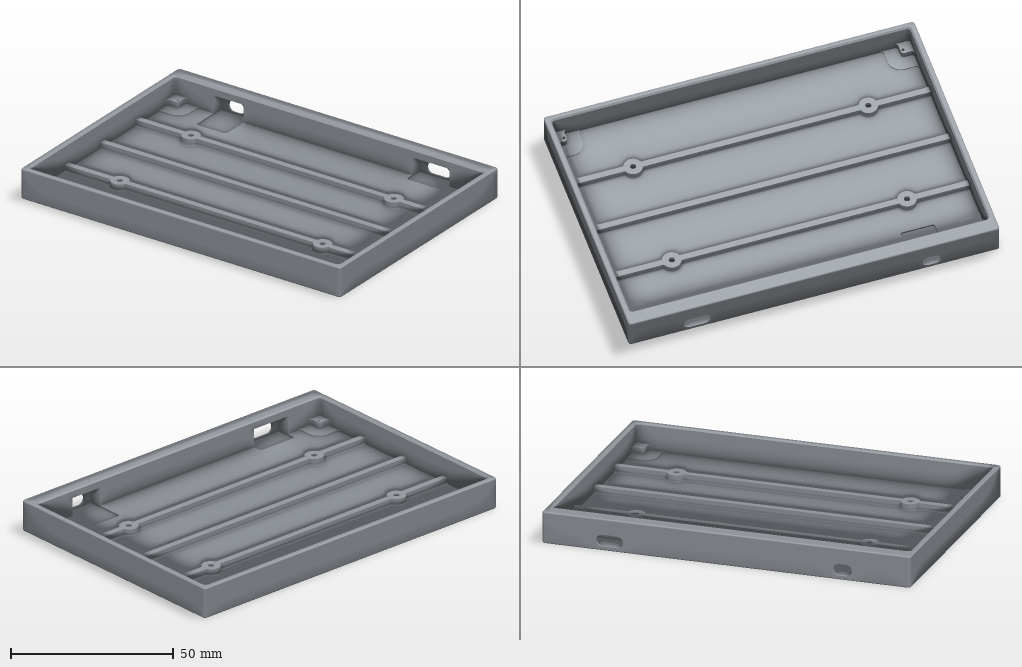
import cadquery as cq

LENGTH = 120.3
WIDTH = 85.0
HEIGHT = 10.3
WALL = 2.0
BACK_WALL = 4.9
FLOOR = 1.5
CORNER_RADIUS = 1.0
EDGE_FILLET = 0.5
RIM_CHAMFER = 0.5

CAVITY_LENGTH = LENGTH - 2 * WALL
CAVITY_WIDTH = WIDTH - WALL - BACK_WALL
CAVITY_CENTRE_Y = (WALL - BACK_WALL) / 2
CAVITY_BACK_Y = WIDTH / 2 - BACK_WALL

RIB_WIDTH = 2.0
RIB_HEIGHT = 2.2
FOOT_FILLET = 0.5
BOSS_DIAMETER = 6.0
BOSS_HOLE_DIAMETER = 1.9
BOSS_HOLE_DEPTH = RIB_HEIGHT
BOSS_X = 38.1
BOSS_Y = 19.1

PAD_X = 8.7
PAD_Y = 8.7
PAD_HEIGHT = 0.4
PAD_CORNER_RADIUS = 4.2
POST_X = 4.0
POST_Y = 4.2
POST_HEIGHT = 2.0
POST_CORNER_RADIUS = 1.0
WALL_BLEND_RADIUS = 1.0
POST_HOLE_DIAMETER = 1.0
POST_HOLE_DEPTH = POST_HEIGHT
POST_HOLE_X = 3.1
POST_HOLE_Y = 2.9

RECESS_SINK = 0.6
RECESS_HEIGHT = 6.7
RECESS_CORNER_RADIUS = 1.0
RECESS_BACK_SKIN = 0.7
SLOT_HEIGHT = 3.8
SLOT_SILL = 0.5
SLOT_SIDE_MARGIN = 2.6
PORT_X = 38.0
LEFT_RECESS_WIDTH = 11.3
LEFT_RECESS_REACH = 9.5
RIGHT_RECESS_WIDTH = 14.1
RIGHT_RECESS_REACH = 3.1

SELECT_MARGIN = 0.01


def make_shell():
    """Rounded box, open at the top, with a chamfered inner rim."""
    box = cq.Workplane("XY").box(LENGTH, WIDTH, HEIGHT, centered=(True, True, False))
    box = box.edges("|Z").fillet(CORNER_RADIUS)
    box = box.faces(">Z or <Z").edges().fillet(EDGE_FILLET)
    cavity = (
        cq.Workplane("XY", origin=(0, CAVITY_CENTRE_Y, FLOOR))
        .rect(CAVITY_LENGTH, CAVITY_WIDTH)
        .extrude(HEIGHT)
        .edges("|Z")
        .fillet(CORNER_RADIUS)
    )
    inner_rim = cq.selectors.BoxSelector(
        (-(LENGTH - WALL) / 2, -(WIDTH - WALL) / 2, HEIGHT - SELECT_MARGIN),
        ((LENGTH - WALL) / 2, (WIDTH - WALL) / 2, HEIGHT + SELECT_MARGIN),
        boundingbox=True,
    )
    return box.cut(cavity).edges(inner_rim).chamfer(RIM_CHAMFER)


def make_rib(y):
    """Straight rib along X, with its ends embedded in the side walls."""
    return (
        cq.Workplane("XY", origin=(0, y, FLOOR))
        .rect(CAVITY_LENGTH + WALL, RIB_WIDTH)
        .extrude(RIB_HEIGHT)
    )


def boss_circles(z, diameter):
    """Circles at the four boss centres, ready to extrude from height z."""
    return (
        cq.Workplane("XY", origin=(0, CAVITY_CENTRE_Y, z))
        .rect(2 * BOSS_X, 2 * BOSS_Y, forConstruction=True)
        .vertices()
        .circle(diameter / 2)
    )


def add_ribs_and_bosses(body):
    """Three ribs, bosses on the outer two, a fillet around the foot and blind screw holes."""
    body = body.union(boss_circles(FLOOR, BOSS_DIAMETER).extrude(RIB_HEIGHT))
    for offset in (-BOSS_Y, 0, BOSS_Y):
        body = body.union(make_rib(CAVITY_CENTRE_Y + offset))

    foot_x = CAVITY_LENGTH / 2 + SELECT_MARGIN
    foot_y = BOSS_Y + BOSS_DIAMETER
    foot = cq.selectors.BoxSelector(
        (-foot_x, CAVITY_CENTRE_Y - foot_y, FLOOR - SELECT_MARGIN),
        (foot_x, CAVITY_CENTRE_Y + foot_y, FLOOR + SELECT_MARGIN),
        boundingbox=True,
    )
    body = body.edges(foot).edges("not |Y").fillet(FOOT_FILLET)
    return body.cut(boss_circles(FLOOR + RIB_HEIGHT, BOSS_HOLE_DIAMETER).extrude(-BOSS_HOLE_DEPTH))


def corner_block(size_x, size_y, height, radius):
    """Block in the -X, -Y cavity corner with a rounded free corner and blends into the walls."""
    blend = WALL_BLEND_RADIUS
    embed = WALL / 2
    return (
        cq.Workplane("XY", origin=(-CAVITY_LENGTH / 2, -CAVITY_WIDTH / 2, FLOOR))
        .moveTo(-embed, -embed)
        .lineTo(size_x + blend, -embed)
        .lineTo(size_x + blend, 0)
        .radiusArc((size_x, blend), blend)
        .lineTo(size_x, size_y - radius)
        .radiusArc((size_x - radius, size_y), -radius)
        .lineTo(blend, size_y)
        .radiusArc((0, size_y + blend), blend)
        .lineTo(-embed, size_y + blend)
        .close()
        .extrude(height)
    )


def make_corner_post():
    """Pad, post and blind pin hole of the -X, -Y corner, with the cavity centred on the origin."""
    post_top = PAD_HEIGHT + POST_HEIGHT
    pad = corner_block(PAD_X, PAD_Y, PAD_HEIGHT, PAD_CORNER_RADIUS)
    post = corner_block(POST_X, POST_Y, post_top, POST_CORNER_RADIUS)
    hole = (
        cq.Workplane("XY", origin=(-CAVITY_LENGTH / 2, -CAVITY_WIDTH / 2, FLOOR + post_top))
        .center(POST_HOLE_X, POST_HOLE_Y)
        .circle(POST_HOLE_DIAMETER / 2)
        .extrude(-POST_HOLE_DEPTH)
    )
    return pad.union(post).cut(hole)


def add_corner_posts(body):
    """One post in each cavity corner, mirrored about the cavity centre."""
    corner = make_corner_post()
    front_pair = corner.union(corner.mirror("YZ"))
    posts = front_pair.union(front_pair.mirror("XZ"))
    return body.union(posts.translate((0, CAVITY_CENTRE_Y, 0)))


def cut_port(body, centre_x, width, reach):
    """Recess in the floor and back wall, with a round-ended slot through the remaining skin."""
    bottom = FLOOR - RECESS_SINK
    front_y = CAVITY_BACK_Y - reach
    depth = reach + BACK_WALL - RECESS_BACK_SKIN
    recess = (
        cq.Workplane("XY", origin=(centre_x, front_y, bottom))
        .box(width, depth, RECESS_HEIGHT, centered=(True, False, False))
        .edges("|Z and <Y")
        .fillet(RECESS_CORNER_RADIUS)
    )
    slot = (
        cq.Workplane("XZ", origin=(centre_x, WIDTH / 2, bottom + SLOT_SILL + SLOT_HEIGHT / 2))
        .slot2D(width - 2 * SLOT_SIDE_MARGIN, SLOT_HEIGHT)
        .extrude(BACK_WALL)
    )
    return body.cut(recess).cut(slot)


result = make_shell()
result = add_ribs_and_bosses(result)
result = add_corner_posts(result)
result = cut_port(result, -PORT_X, LEFT_RECESS_WIDTH, LEFT_RECESS_REACH)
result = cut_port(result, PORT_X, RIGHT_RECESS_WIDTH, RIGHT_RECESS_REACH)